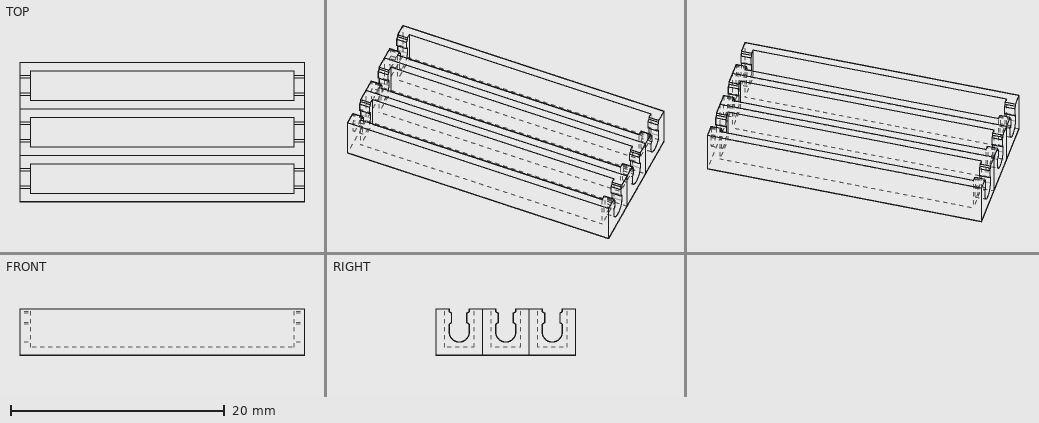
import cadquery as cq

block_count = 3
block_length = 26.6
block_side = 4.35

end_wall = 1.0
side_wall = 0.8
pocket_floor = side_wall
pocket_width = block_side - 2 * side_wall
pocket_length = block_length - 2 * end_wall

slot_width = 1.85
slot_radius = slot_width / 2
slot_bottom = 1.25
slot_round_height = slot_bottom + slot_radius

throat_width = 1.4
lip_depth = 0.4
throat_height = 0.9
bevel_height = 0.13
throat_top = block_side - lip_depth
throat_bottom = throat_top - throat_height


def slot_edge():
    """Slot edge on the +Y side, from the start of the round bottom up to the mouth."""
    return [
        (slot_radius, slot_round_height),
        (slot_radius, throat_bottom - bevel_height),
        (throat_width / 2, throat_bottom),
        (throat_width / 2, throat_top),
        (slot_radius, throat_top + bevel_height),
        (slot_radius, block_side),
    ]


def make_slot():
    """Slot volume running the full length of a block."""
    plus_y_edge = slot_edge()
    minus_y_edge = [(-y, z) for y, z in reversed(plus_y_edge)]
    return (
        cq.Workplane("YZ", origin=(-block_length / 2, 0, 0))
        .polyline(plus_y_edge + minus_y_edge)
        .threePointArc((0, slot_bottom), plus_y_edge[0])
        .close()
        .extrude(block_length)
    )


def make_pocket():
    return (
        cq.Workplane("XY", origin=(0, 0, pocket_floor))
        .rect(pocket_length, pocket_width)
        .extrude(block_side - pocket_floor)
    )


def make_channel_block(center_y):
    block = cq.Workplane("XY").rect(block_length, block_side).extrude(block_side)
    block = block.cut(make_slot()).cut(make_pocket())
    return block.translate((0, center_y, 0))


channel_blocks = []
for index in range(block_count):
    center_y = (index - (block_count - 1) / 2) * block_side
    channel_blocks.append(make_channel_block(center_y))

result = cq.Compound.makeCompound([block.val() for block in channel_blocks])